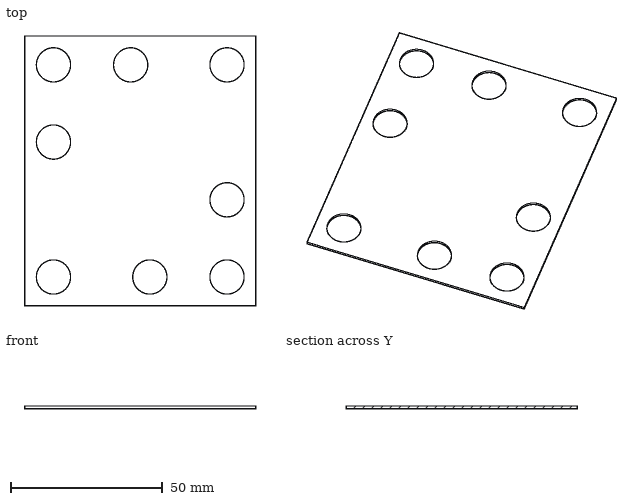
import cadquery as cq

width = 76.2
length = 88.9
thickness = 1.0

hole_diameter = 11.2
edge_inset = 9.5
hole_pitch = 25.4

corner_x = width / 2 - edge_inset
corner_y = length / 2 - edge_inset

half_pattern = [
    (-corner_x, corner_y),
    (-corner_x + hole_pitch, corner_y),
    (-corner_x, corner_y - hole_pitch),
    (corner_x, corner_y),
]
hole_centers = half_pattern + [(-x, -y) for x, y in half_pattern]

plate = cq.Workplane("XY").box(width, length, thickness)
result = plate.faces(">Z").workplane().pushPoints(hole_centers).hole(hole_diameter)